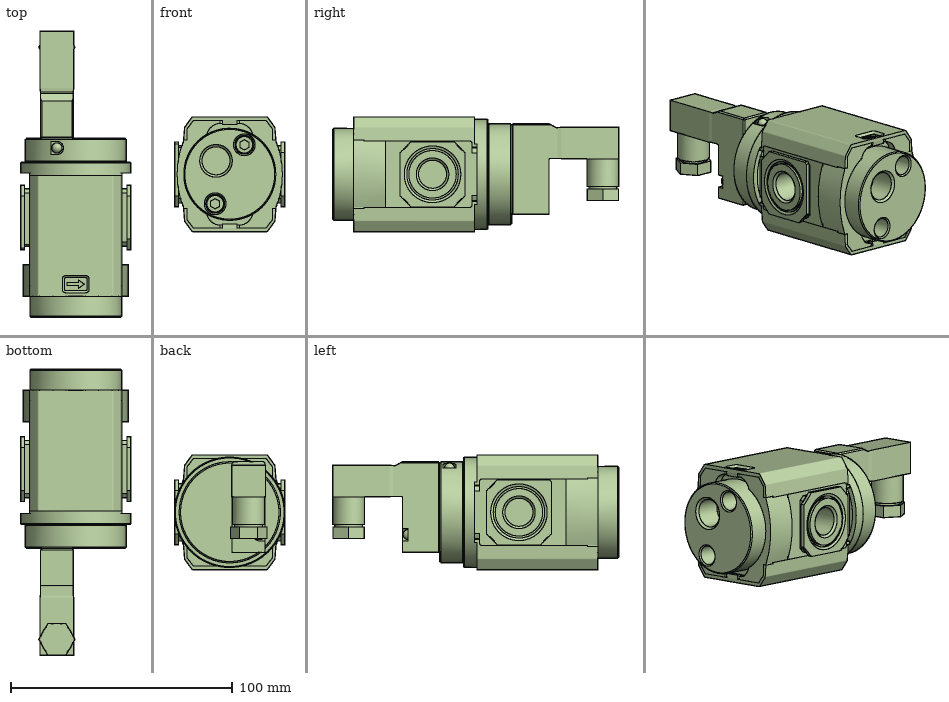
import cadquery as cq
import math


body_front = 9.5
shoulder_end = 23.8
body_end = 64.2
saddle_end = 65.2
collar_end = 70.3
groove_end = 70.8
cap_end = 81.0
total_length = 129.4

cover_half_height = 26.0
cover_half_width = 21.0
cover_top_half_width = 17.0
cover_corner_half_width = 20.5
cover_corner_z = 21.2
cover_edge_radius = 0.9
cover_leg_z = 15.0
core_half_height = 24.3
core_half_width = 19.3
core_top_half_width = 16.4
core_corner_z = 20.6
leg_relief_height = 0.5
leg_relief_end = 14.2
foot_front = 63.0
foot_z = 12.3
foot_fillet = 1.2

label_length = 12.2
label_width = 7.8
label_depth = 1.2
label_y = 15.0
label_corner = 1.5
label_wall_angle = 40
arrow_half_length = 3.9
arrow_head_x = 1.2
arrow_head_half_width = 2.0
arrow_shaft_half_width = 0.6
arrow_height = 0.4

tongue_half_width = 3.4
tongue_z = 22.5
tongue_length = 2.6
tongue_ramp = 0.3
snap_slot_half_width = 4.4

crescent_depth = 3.9
crescent_top_z = 22.9
crescent_top_half_width = 5.4
crescent_half_width = 10.4
crescent_base_z = 18.1
crescent_mid = (8.5, 21.2)

boss_radius = 20.8
boss_chamfer = 0.5
shoulder_half_width = 23.8

port_radius = 6.3
port_mouth_radius = 7.4
port_chamfer = port_mouth_radius - port_radius
port_depth = 13.0
outlet_x = -6.2
outlet_z = 6.1

flange_y = 45.2
flange_side = 29.4
flange_face = 25.0
flange_back = 23.2
flange_corner = 4.9
flange_small_corner = 0.9
neck_inset = 1.7
neck_corner = 2.0
seal_outer_radius = 11.6
seal_inner_radius = 10.7
seal_depth = 1.3
seal_bevel_width = 1.2
seal_bevel_depth = 0.5

screw_x = 6.6
screw_z = 13.3
screw_radius = 4.3
screw_mouth_chamfer = 0.6
screw_recess = 9.0
screw_head_height = 5.2
screw_head_chamfer = 0.5
socket_radius = 2.3
socket_depth = 2.6

window_z_inner = 9.6

neck_radius = 22.6
neck_end = 68.6

collar_radius = 25.0
collar_chamfer = 0.4
saddle_half_height = 13.7
cap_radius = 22.9
cap_chamfer = 0.6
cap_groove_radius = 22.4

button_y = 76.6
button_radius = 2.3
button_slot_radius = 3.0
button_slot_floor = 19.9

valve_x = -8.5
valve_width = 14.9
valve_top = 22.9
valve_bottom = -18.1
valve_back = 97.8
valve_edge = 0.6
elbow_fillet = 0.6
arm_top = 21.1
arm_bottom = 7.1
arm_start = 101.2
plug_start = 101.8
plug_full = 103.6
plug_width = 15.4
plug_top = 21.4
plug_bottom = 7.0

gland_radius = 7.2
gland_bottom = -5.5
gland_neck_radius = 6.3
nut_top = -6.6
nut_bottom = -11.9
nut_flats = 14.2

override_z = -10.1
override_radius = 2.8
override_x = -13.5
override_depth = 2.6
override_dome_radius = 2.3


def circle_plane(y, x=0.0, z=0.0):
    """Plane across the Y axis, facing +Y, with its origin at the given point."""
    return cq.Plane(origin=(x, y, z), xDir=(1, 0, 0), normal=(0, 1, 0))


def cylinder_y(radius, start, end, x=0.0, z=0.0):
    """Cylinder along Y from start to end."""
    return cq.Workplane(circle_plane(start, x, z)).circle(radius).extrude(end - start)


def hole_y(radius, chamfer, depth, x, z):
    """Hole from the outlet face, with a chamfered mouth."""
    mouth = (
        cq.Workplane(circle_plane(0, x, z))
        .circle(radius + chamfer)
        .workplane(offset=chamfer)
        .circle(radius)
        .loft()
    )
    return cylinder_y(radius, 0, depth, x, z).union(mouth)


def box_between(x0, x1, y0, y1, z0, z1):
    box = cq.Workplane("XY").box(x1 - x0, y1 - y0, z1 - z0, centered=False)
    return box.translate((x0, y0, z0))


def front_plane(y):
    """Plane across the Y axis, facing -Y, with its x and y along X and Z."""
    return cq.Workplane("XZ", origin=(0, y, 0))


def symmetric_prism(right_points, start, end):
    """Prism along Y over right-hand (x, z) points and their mirror image in x."""
    left_points = [(-x, z) for x, z in reversed(right_points)]
    return front_plane(end).polyline(right_points + left_points).close().extrude(end - start)


def top_and_bottom(shape):
    """The shape together with its mirror image below the XY plane."""
    return shape.union(shape.mirror("XY"))


def both_sides(shape):
    """The shape together with its mirror image across the YZ plane."""
    return shape.union(shape.mirror("YZ"))




def make_core():
    """The part of the body that the covers wrap."""
    return symmetric_prism(
        [
            (core_top_half_width, -core_half_height),
            (core_half_width, -core_corner_z),
            (core_half_width, core_corner_z),
            (core_top_half_width, core_half_height),
        ],
        body_front,
        body_end,
    )


def make_leg_lips():
    """Lips of the body that fill the reliefs in the cover legs."""
    lip = box_between(
        core_half_width,
        cover_half_width,
        body_front,
        leg_relief_end,
        cover_leg_z,
        cover_leg_z + leg_relief_height,
    )
    return both_sides(top_and_bottom(lip))


def make_feet():
    """Feet at the collar ends of the top cover's legs."""
    foot = (
        cq.Workplane("YZ", origin=(core_half_width, 0, 0))
        .moveTo(foot_front, foot_z)
        .lineTo(saddle_end, foot_z)
        .lineTo(saddle_end, saddle_half_height)
        .lineTo(body_end, saddle_half_height)
        .lineTo(body_end, cover_leg_z)
        .lineTo(foot_front - foot_fillet, cover_leg_z)
        .radiusArc((foot_front, cover_leg_z - foot_fillet), foot_fillet)
        .close()
        .extrude(cover_half_width - core_half_width)
    )
    return both_sides(foot.cut(cylinder_y(neck_radius, body_front, saddle_end)))


def make_shoulder():
    """Bulged sides next to the outlet boss."""
    return (
        front_plane(shoulder_end)
        .moveTo(cover_half_width, -cover_leg_z)
        .threePointArc((shoulder_half_width, 0), (cover_half_width, cover_leg_z))
        .lineTo(-cover_half_width, cover_leg_z)
        .threePointArc((-shoulder_half_width, 0), (-cover_half_width, -cover_leg_z))
        .close()
        .extrude(shoulder_end - body_front)
    )


def make_crescents():
    """Recesses in the front face above and below the outlet boss."""
    x_mid, z_mid = crescent_mid
    recess = (
        front_plane(body_front + crescent_depth)
        .moveTo(-crescent_half_width, crescent_base_z)
        .threePointArc((-x_mid, z_mid), (-crescent_top_half_width, crescent_top_z))
        .lineTo(crescent_top_half_width, crescent_top_z)
        .threePointArc((x_mid, z_mid), (crescent_half_width, crescent_base_z))
        .close()
        .extrude(crescent_depth)
    )
    return top_and_bottom(recess.cut(cylinder_y(boss_radius, 0, body_end)))


def make_snap_slots():
    slot = box_between(
        -snap_slot_half_width,
        snap_slot_half_width,
        body_front,
        body_front + tongue_length,
        tongue_z,
        core_half_height,
    )
    return top_and_bottom(slot)


def flange_block(side, corner, small_corner, x0, x1):
    """Square block around the side port: three cut corners and a small one at the top front."""
    block = cq.Workplane("YZ", origin=(x0, flange_y, 0)).rect(side, side).extrude(x1 - x0)
    block = block.edges("|X and (>Y or <Z)").chamfer(corner)
    return block.edges("|X and <Y and >Z").chamfer(small_corner)


def make_flange(small_corner):
    """Port flange on the +X side: a plate on a slightly smaller neck."""
    plate = flange_block(flange_side, flange_corner, small_corner, flange_back, flange_face)
    neck_side = flange_side - 2 * neck_inset
    neck_small_corner = min(small_corner, neck_corner)
    neck = flange_block(neck_side, neck_corner, neck_small_corner, core_half_width, flange_back)
    return plate.union(neck)


def make_side_port():
    """Hole and seal groove in the +X flange."""
    face = cq.Workplane("YZ", origin=(flange_face, flange_y, 0))
    hole = face.circle(port_radius).extrude(-port_depth)
    mouth = face.circle(port_mouth_radius).workplane(offset=-port_chamfer).circle(port_radius).loft()
    bevel = (
        face.circle(seal_outer_radius + seal_bevel_width)
        .workplane(offset=-seal_bevel_depth)
        .circle(seal_outer_radius)
        .loft()
    )
    island = face.circle(seal_inner_radius).extrude(-seal_depth)
    groove = face.circle(seal_outer_radius).extrude(-seal_depth).union(bevel).cut(island)
    return hole.union(mouth).union(groove)


def make_windows():
    """Bayonet windows near the collar, with floors on a cylinder about the axis."""
    window = box_between(
        core_half_width,
        cover_half_width,
        foot_front,
        saddle_end,
        window_z_inner,
        foot_z,
    )
    window = window.cut(cylinder_y(neck_radius, body_front, saddle_end))
    return both_sides(top_and_bottom(window))


def make_body():
    waist = box_between(
        -cover_half_width, cover_half_width, body_front, body_end, -cover_leg_z, cover_leg_z
    )
    saddle = box_between(
        -cover_half_width,
        cover_half_width,
        body_end,
        saddle_end,
        -saddle_half_height,
        saddle_half_height,
    )
    boss = cylinder_y(boss_radius, 0, body_front).faces("<Y").chamfer(boss_chamfer)
    body = make_core().union(waist).union(saddle).union(boss)
    body = body.union(make_shoulder()).union(make_leg_lips()).cut(top_and_bottom(make_feet()))
    body = body.union(cylinder_y(neck_radius, saddle_end, neck_end))
    body = body.union(make_flange(flange_corner))
    body = body.union(make_flange(flange_small_corner).mirror("YZ"))

    body = body.cut(make_crescents()).cut(make_snap_slots())
    body = body.cut(both_sides(make_side_port())).cut(make_windows())
    body = body.cut(hole_y(port_radius, port_chamfer, port_depth, outlet_x, outlet_z))
    screw_hole_depth = screw_recess + screw_head_height
    for x, z in screw_places:
        body = body.cut(hole_y(screw_radius, screw_mouth_chamfer, screw_hole_depth, x, z))
    return body




def make_tongue():
    """Snap tongue with a sloped front, pointing at the axis."""
    return (
        cq.Workplane("YZ", origin=(-tongue_half_width, 0, 0))
        .moveTo(body_front, core_half_height)
        .lineTo(body_front + tongue_ramp, tongue_z)
        .lineTo(body_front + tongue_length, tongue_z)
        .lineTo(body_front + tongue_length, core_half_height)
        .close()
        .extrude(2 * tongue_half_width)
    )


def make_label_pocket():
    """Rounded pocket with sloped walls in the top face."""
    return (
        cq.Workplane("XY", origin=(0, label_y, cover_half_height))
        .sketch()
        .rect(label_length, label_width)
        .vertices()
        .fillet(label_corner)
        .finalize()
        .extrude(-label_depth, taper=label_wall_angle)
    )


def make_arrow():
    """Raised flow arrow on the floor of the label pocket."""
    return (
        cq.Workplane("XY", origin=(0, label_y, cover_half_height - label_depth))
        .moveTo(-arrow_half_length, -arrow_shaft_half_width)
        .lineTo(arrow_head_x, -arrow_shaft_half_width)
        .lineTo(arrow_head_x, -arrow_head_half_width)
        .lineTo(arrow_half_length, 0)
        .lineTo(arrow_head_x, arrow_head_half_width)
        .lineTo(arrow_head_x, arrow_shaft_half_width)
        .lineTo(-arrow_half_length, arrow_shaft_half_width)
        .close()
        .extrude(arrow_height)
    )


def make_cover():
    """Shell over the top of the body, with legs down its sides."""
    shell = symmetric_prism(
        [
            (cover_half_width, cover_leg_z),
            (cover_corner_half_width, cover_corner_z),
            (cover_top_half_width, cover_half_height),
        ],
        body_front,
        body_end,
    )
    shell = shell.edges("|Y and (not <Z)").fillet(cover_edge_radius)
    return shell.cut(make_core()).cut(make_leg_lips()).union(make_tongue()).union(make_feet())




def make_screw(x, z):
    """Screw head with a hexagon socket, at the bottom of its hole."""
    head_end = screw_recess + screw_head_height
    head = cylinder_y(screw_radius, screw_recess, head_end, x, z)
    head = head.faces("<Y").chamfer(screw_head_chamfer)
    hexagon = [
        (socket_radius * math.sin(math.radians(angle)), socket_radius * math.cos(math.radians(angle)))
        for angle in range(0, 360, 60)
    ]
    socket = cq.Workplane(circle_plane(screw_recess, x, z)).polyline(hexagon).close()
    return head.cut(socket.extrude(socket_depth))




def make_button_slot():
    """Slot in from the top, open toward -X, around the domed button."""
    floor = cq.Workplane("XY", origin=(valve_x, button_y, button_slot_floor))
    slot = floor.circle(button_slot_radius).extrude(cap_radius)
    open_side = box_between(
        -cap_radius,
        valve_x,
        button_y - button_slot_radius,
        button_y + button_slot_radius,
        button_slot_floor,
        collar_radius,
    )
    return slot.union(open_side)


def make_button():
    ball = cq.Workplane("XY", origin=(valve_x, button_y, button_slot_floor)).sphere(button_radius)
    return ball.intersect(cylinder_y(collar_radius, collar_end, cap_end))


def make_end_cap():
    collar = cylinder_y(collar_radius, body_end, collar_end).faces(">Y").chamfer(collar_chamfer)
    collar = collar.cut(cylinder_y(neck_radius, saddle_end, neck_end))
    groove = cylinder_y(cap_groove_radius, collar_end, groove_end)
    cap = cylinder_y(cap_radius, groove_end, cap_end).faces(">Y").chamfer(cap_chamfer)
    saddle = box_between(
        -collar_radius,
        collar_radius,
        body_end,
        saddle_end,
        -saddle_half_height,
        saddle_half_height,
    )
    return collar.cut(saddle).union(groove).union(cap).cut(make_button_slot()).union(make_button())




def make_valve_housing():
    housing = (
        cq.Workplane("YZ", origin=(valve_x - valve_width / 2, 0, 0))
        .moveTo(cap_end, valve_bottom)
        .lineTo(cap_end, valve_top)
        .lineTo(valve_back, valve_top)
        .lineTo(arm_start, arm_top)
        .lineTo(plug_full, arm_top)
        .lineTo(plug_full, arm_bottom)
        .lineTo(valve_back, arm_bottom)
        .lineTo(valve_back, valve_bottom)
        .close()
        .extrude(valve_width)
    )
    elbow = cq.selectors.NearestToPointSelector((valve_x, valve_back, arm_bottom))
    housing = housing.edges("|X").edges(elbow).fillet(elbow_fillet)
    housing = housing.edges("|Y and >Z").chamfer(valve_edge)
    return housing.faces("<Y").chamfer(valve_edge)


def make_plug():
    """Plug at the end of the arm, slightly larger than the arm, with sloped front edges."""
    middle_z = (plug_top + plug_bottom) / 2
    height = plug_top - plug_bottom
    front = cq.Workplane(circle_plane(plug_start, valve_x, middle_z))
    taper = (
        front.rect(valve_width, arm_top - arm_bottom)
        .workplane(offset=plug_full - plug_start)
        .rect(plug_width, height)
        .loft()
    )
    shell = (
        cq.Workplane(circle_plane(plug_full, valve_x, middle_z))
        .rect(plug_width, height)
        .extrude(total_length - plug_full)
    )
    return taper.union(shell)


def make_gland():
    """Cable gland below the plug: a round stem, a neck and a hexagon nut."""
    gland_y = total_length - gland_radius
    nut_corners = nut_flats / math.cos(math.radians(30))
    top = cq.Workplane("XY", origin=(valve_x, gland_y, plug_bottom))
    stem = top.circle(gland_radius).extrude(gland_bottom - plug_bottom)
    neck = top.circle(gland_neck_radius).extrude(nut_top - plug_bottom)
    nut = cq.Workplane("XY", origin=(valve_x, gland_y, nut_top)).polygon(6, nut_corners)
    return stem.union(neck).union(nut.extrude(nut_bottom - nut_top))


def make_override_slot():
    """Slot in the back of the housing, open toward -X, around a dome."""
    floor = cq.Workplane(circle_plane(valve_back - override_depth, override_x, override_z))
    slot = floor.circle(override_radius).extrude(override_depth)
    open_side = box_between(
        valve_x - valve_width,
        override_x,
        valve_back - override_depth,
        valve_back,
        override_z - override_radius,
        override_z + override_radius,
    )
    return slot.union(open_side).cut(floor.sphere(override_dome_radius))


def make_pilot_valve():
    housing = make_valve_housing().cut(make_override_slot())
    return housing.union(make_plug()).union(make_gland())



screw_places = [(screw_x, screw_z), (-screw_x, -screw_z)]

body = make_body()
cover = make_cover()
top_cover = cover.cut(make_label_pocket()).union(make_arrow())
bottom_cover = cover.mirror("XY")
screws = [make_screw(x, z) for x, z in screw_places]
end_cap = make_end_cap()
pilot_valve = make_pilot_valve()

result = cq.Compound.makeCompound(
    [
        body.val(),
        top_cover.val(),
        bottom_cover.val(),
        *[screw.val() for screw in screws],
        end_cap.val(),
        pilot_valve.val(),
    ]
)